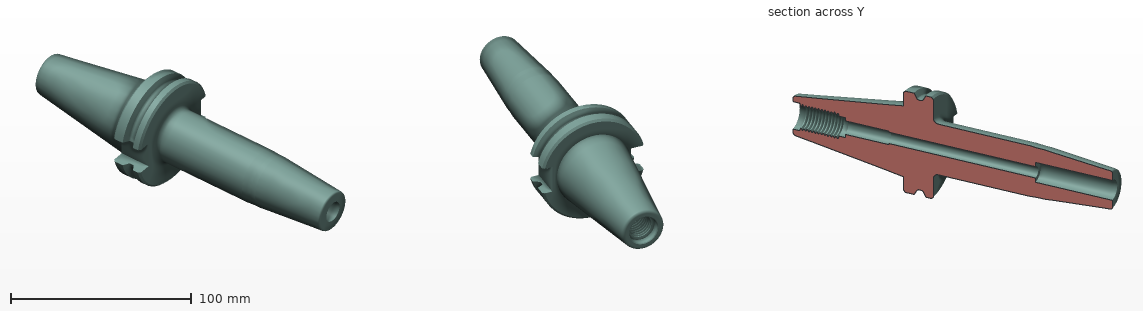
import cadquery as cq
import math

total_length = 198.2
taper_length = 68.2
flange_start = 68.5
flange_end = 87.2

gauge_diameter = 44.5
taper_ratio = 7 / 24
small_diameter = gauge_diameter - taper_ratio * taper_length
shank_end_fillet = 2.0

flange_diameter = 63.5
flange_chamfer = 1.2
groove_start = 75.3
groove_end = 82.5
groove_diameter = 56.3
groove_wall_angle = 30.0
groove_fillet = 1.0

slot_width = 16.0
front_slot_floor = 22.6
back_slot_floor = 25.0

body_diameter = 32.0
body_fillet = 3.0
nose_start = 147.1
nose_ring_diameter = 31.1
nose_ring_start = 152.9
nose_ring_end = 156.0
nose_end_diameter = 24.0
nose_end_fillet = 1.2

bore_diameter = 16.9
bore_depth = 4.4
bore_mouth_chamfer = 0.4
thread_diameter = 13.5
countersink_diameter = 16.3
countersink_depth = 0.4
thread_start = bore_depth + countersink_depth
thread_root_diameter = 15.9
thread_pitch = 2.0
thread_crest_width = 0.5
thread_turns = 12
thread_depth = thread_start + thread_turns * thread_pitch
relief_diameter = 12.0
relief_depth = thread_depth + 4.0
coolant_entry_diameter = 8.1
coolant_entry_depth = 59.5
coolant_diameter = 6.7

tool_bore_diameter = 12.0
tool_bore_depth = 47.5


def revolve_about_x(outline):
    """Turn a closed outline of (x, radius) points around the X axis."""
    return cq.Workplane("XY").polyline(outline).close().revolve(360, (0, 0), (1, 0))


def make_shank():
    shank = revolve_about_x([
        (0, 0),
        (0, small_diameter / 2),
        (taper_length, gauge_diameter / 2),
        (flange_end, gauge_diameter / 2),
        (flange_end, 0),
    ])
    return shank.faces("<X").edges().fillet(shank_end_fillet)


def make_flange():
    rim = flange_diameter / 2
    length = flange_end - flange_start
    flange = cq.Workplane("YZ", origin=(flange_start, 0, 0)).circle(rim).extrude(length)
    flange = flange.faces("<X or >X").edges().chamfer(flange_chamfer)
    root = groove_diameter / 2
    run = (rim - root) * math.tan(math.radians(groove_wall_angle))
    groove = revolve_about_x([
        (groove_start, rim),
        (groove_start + run, root),
        (groove_end - run, root),
        (groove_end, rim),
    ])
    groove_cutter = groove.edges(cq.selectors.RadiusNthSelector(0)).fillet(groove_fillet)
    return flange.cut(groove_cutter)


def make_body():
    corner = body_diameter / 2
    body = (
        cq.Workplane("XY")
        .moveTo(flange_end, 0)
        .lineTo(flange_end, corner + body_fillet)
        .radiusArc((flange_end + body_fillet, corner), -body_fillet)
        .lineTo(nose_start, corner)
        .lineTo(nose_ring_start, nose_ring_diameter / 2)
        .lineTo(nose_ring_end, nose_ring_diameter / 2)
        .lineTo(total_length, nose_end_diameter / 2)
        .lineTo(total_length, 0)
        .close()
        .revolve(360, (0, 0), (1, 0))
    )
    return body.faces(">X").edges().fillet(nose_end_fillet)


def make_slot(side, floor):
    """Cutter for one drive slot; side is -1 or +1 along Y."""
    cut_depth = flange_diameter / 2 - floor
    middle = ((flange_start + flange_end) / 2, side * (floor + cut_depth / 2), 0)
    return cq.Workplane("XY", origin=middle).box(flange_end - flange_start, cut_depth, slot_width)


def thread_outline():
    """Points of the ring-shaped thread grooves, from the countersink inwards."""
    flank = (thread_pitch - thread_crest_width) / 2
    points = []
    for turn in range(thread_turns):
        crest_start = thread_start + turn * thread_pitch
        crest_end = crest_start + thread_crest_width
        points += [
            (crest_start, thread_diameter / 2),
            (crest_end, thread_diameter / 2),
            (crest_end + flank, thread_root_diameter / 2),
        ]
    return points + [(thread_depth, thread_diameter / 2)]


def make_bore():
    tool_bore_floor = total_length - tool_bore_depth
    return revolve_about_x([
        (0, 0),
        (0, bore_diameter / 2 + bore_mouth_chamfer),
        (bore_mouth_chamfer, bore_diameter / 2),
        (bore_depth, bore_diameter / 2),
        (bore_depth, countersink_diameter / 2),
        *thread_outline(),
        (thread_depth, relief_diameter / 2),
        (relief_depth, relief_diameter / 2),
        (relief_depth, coolant_entry_diameter / 2),
        (coolant_entry_depth, coolant_entry_diameter / 2),
        (coolant_entry_depth, coolant_diameter / 2),
        (tool_bore_floor, coolant_diameter / 2),
        (tool_bore_floor, tool_bore_diameter / 2),
        (total_length, tool_bore_diameter / 2),
        (total_length, 0),
    ])


result = make_shank().union(make_flange()).union(make_body())
result = result.cut(make_slot(-1, front_slot_floor)).cut(make_slot(1, back_slot_floor))
result = result.cut(make_bore())